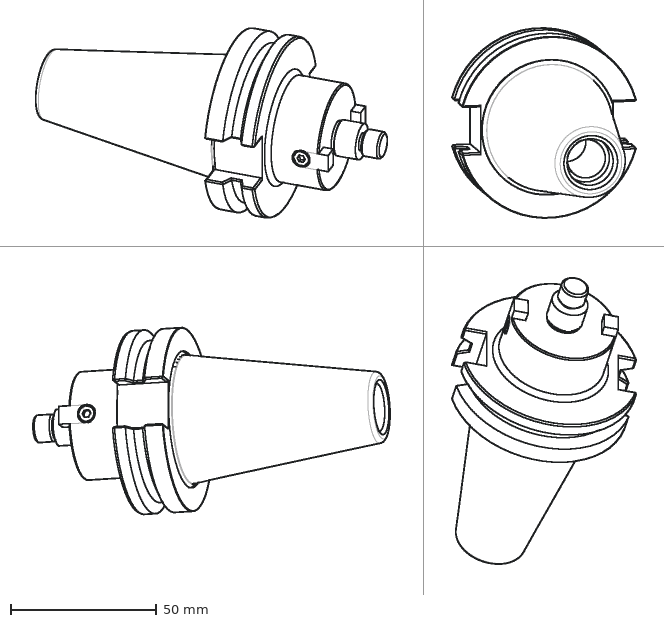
import cadquery as cq
import math


gauge_dia = 44.45
taper_length = 68.58
taper_ratio = 7 / 24
shank_round = 1.6
shank_end_x = -taper_length
shank_end_dia = gauge_dia - taper_length * taper_ratio

bore_mouth_dia = 18.9
bore_mouth_depth = 1.1
counterbore_dia = 16.26
counterbore_depth = 7.5
bore_dia = 13.39
bore_depth = 40.0

flange_dia = 63.5
flange_front_x = 0.85
flange_back_x = 19.05
front_chamfer = 0.2
back_chamfer_length = 0.8
back_chamfer_height = 0.4
groove_bottom_dia = 56.0
groove_center_x = 10.9
groove_bottom_width = 3.25
groove_mouth_width = 6.9

relief_start_x = 0.3
relief_radius = 1.4
relief_outer_radius = gauge_dia / 2 + relief_radius

slot_width = 16.0
slot_edge_chamfer = 0.6
slot_floor_minus_y = -22.6
slot_floor_plus_y = 24.1

body_dia = 37.5
body_end_x = 38.1
body_chamfer = 0.5
collar_size = 1.8

pilot_neck_dia = 11.9
pilot_start_x = 39.2
pilot_dia = 12.7
pilot_end_x = 47.15
screw_neck_dia = 6.35
screw_start_x = 48.32
screw_dia = 9.53
screw_chamfer = 0.7
screw_end_x = 55.05

key_width = 6.35
key_height = 5.0
key_center_x = 31.75
key_end_x = 41.67
key_top = math.sqrt((body_dia / 2) ** 2 - (key_width / 2) ** 2)
key_screw_hole_dia = key_width
key_screw_head_dia = 5.46
key_screw_gap_depth = 1.0
socket_across_flats = 2.5
socket_depth = 1.5


def turned(profile):
    """Revolve a closed half-profile, drawn as (x, radius), about the X axis."""
    return profile.close().revolve(360, (0, 0, 0), (1, 0, 0))


def make_shank_and_arbor():
    """Taper, arbor body, pilot and screw as one turned solid, without the flange."""
    body_radius = body_dia / 2
    screw_radius = screw_dia / 2
    screw_chamfer_radius = screw_radius - screw_chamfer
    profile = (
        cq.Workplane("XY")
        .moveTo(shank_end_x, 0)
        .lineTo(shank_end_x, shank_end_dia / 2)
        .lineTo(0, gauge_dia / 2)
        .lineTo(flange_back_x - collar_size, gauge_dia / 2)
        .lineTo(flange_back_x, body_radius + collar_size)
        .lineTo(flange_back_x + collar_size, body_radius)
        .lineTo(body_end_x - body_chamfer, body_radius)
        .lineTo(body_end_x, body_radius - body_chamfer)
        .lineTo(body_end_x, pilot_neck_dia / 2)
        .lineTo(pilot_start_x, pilot_neck_dia / 2)
        .lineTo(pilot_start_x, pilot_dia / 2)
        .lineTo(pilot_end_x, pilot_dia / 2)
        .lineTo(pilot_end_x, screw_neck_dia / 2)
        .lineTo(screw_start_x, screw_neck_dia / 2)
        .lineTo(screw_start_x, screw_chamfer_radius)
        .lineTo(screw_start_x + screw_chamfer, screw_radius)
        .lineTo(screw_end_x - screw_chamfer, screw_radius)
        .lineTo(screw_end_x, screw_chamfer_radius)
        .lineTo(screw_end_x, 0)
    )
    return turned(profile).faces("<X").edges().fillet(shank_round)


def make_flange():
    """Flange disc with its wide-bottomed V-groove and the concave relief around the taper."""
    rim = flange_dia / 2
    groove_radius = groove_bottom_dia / 2
    relief_mid_offset = relief_radius * math.sqrt(0.5)
    profile = (
        cq.Workplane("XY")
        .moveTo(relief_start_x, 0)
        .lineTo(relief_start_x, relief_outer_radius - relief_radius)
        .threePointArc(
            (relief_start_x + relief_mid_offset, relief_outer_radius - relief_mid_offset),
            (relief_start_x + relief_radius, relief_outer_radius),
        )
        .lineTo(flange_front_x, relief_outer_radius)
        .lineTo(flange_front_x, rim)
        .lineTo(groove_center_x - groove_mouth_width / 2, rim)
        .lineTo(groove_center_x - groove_bottom_width / 2, groove_radius)
        .lineTo(groove_center_x + groove_bottom_width / 2, groove_radius)
        .lineTo(groove_center_x + groove_mouth_width / 2, rim)
        .lineTo(flange_back_x - back_chamfer_length, rim)
        .lineTo(flange_back_x, rim - back_chamfer_height)
        .lineTo(flange_back_x, 0)
    )
    return turned(profile)


def cut_drive_slots(flange):
    """Cut both drive slots through the rim and break the edges of their side walls."""
    slot_reach = flange_dia
    for floor in (slot_floor_minus_y, slot_floor_plus_y):
        outward = math.copysign(1, floor)
        cutter = cq.Workplane("XY").box(slot_reach, slot_reach, slot_width)
        flange = flange.cut(cutter.translate((0, floor + outward * slot_reach / 2, 0)))

    tolerance = 0.01

    def is_wall(face):
        center = face.Center()
        return face.geomType() == "PLANE" and abs(abs(center.z) - slot_width / 2) < tolerance

    def is_on_floor(edge):
        y = edge.Center().y
        return min(abs(y - slot_floor_minus_y), abs(y - slot_floor_plus_y)) < tolerance

    walls = [face for face in flange.faces().vals() if is_wall(face)]
    edges = [edge for wall in walls for edge in wall.Edges() if not is_on_floor(edge)]
    return flange.newObject(edges).chamfer(slot_edge_chamfer)


def make_rim_chamfer_ring():
    """Triangular ring that breaks the front edge of the flange rim."""
    rim = flange_dia / 2
    profile = (
        cq.Workplane("XY")
        .moveTo(flange_front_x, rim - front_chamfer)
        .lineTo(flange_front_x + front_chamfer, rim)
        .lineTo(flange_front_x, rim)
    )
    return turned(profile)


def make_draw_bar_bore():
    """Blind stepped bore with a flared mouth."""
    mouth_end_x = shank_end_x + bore_mouth_depth
    step_x = shank_end_x + counterbore_depth
    floor_x = shank_end_x + bore_depth
    profile = (
        cq.Workplane("XY")
        .moveTo(shank_end_x, 0)
        .lineTo(shank_end_x, bore_mouth_dia / 2)
        .lineTo(mouth_end_x, counterbore_dia / 2)
        .lineTo(step_x, counterbore_dia / 2)
        .lineTo(step_x, bore_dia / 2)
        .lineTo(floor_x, bore_dia / 2)
        .lineTo(floor_x, 0)
    )
    return turned(profile)


def add_drive_key(holder, side):
    """Add one drive key and its screw on the -Y (side = -1) or +Y (side = 1) flank."""
    top = cq.Plane(origin=(key_center_x, side * key_top, 0), xDir=(1, 0, 0), normal=(0, side, 0))
    key_reach = key_end_x - key_center_x
    clearance = body_dia / 2 - key_top

    def key_prism(height):
        straight = cq.Workplane(top).center(key_reach / 2, 0).rect(key_reach, key_width).extrude(height)
        return straight.union(cq.Workplane(top).circle(key_width / 2).extrude(height))

    holder = holder.cut(key_prism(clearance)).union(key_prism(-key_height))
    gap = cq.Workplane(top).circle(key_screw_hole_dia / 2).circle(key_screw_head_dia / 2)
    socket = cq.Workplane(top).polygon(6, socket_across_flats / math.cos(math.pi / 6))
    return holder.cut(gap.extrude(-key_screw_gap_depth)).cut(socket.extrude(-socket_depth))


flange = cut_drive_slots(make_flange()).cut(make_rim_chamfer_ring())
holder = make_shank_and_arbor().union(flange).cut(make_draw_bar_bore())
for key_side in (-1, 1):
    holder = add_drive_key(holder, key_side)

result = holder